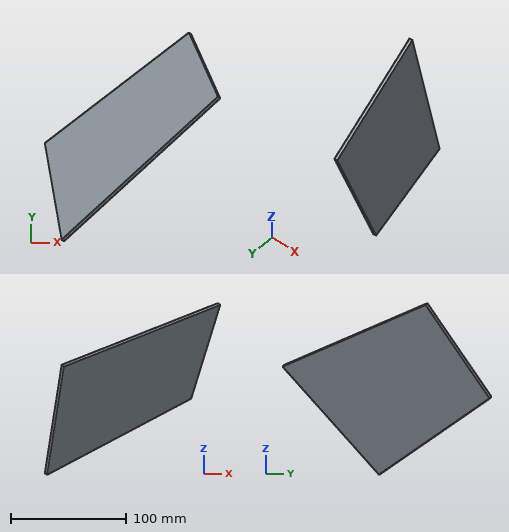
import cadquery as cq

thickness = 3.0
base_length = 170.9
side_length = 126.7
far_corner_along = 189.5
far_corner_across = 99.8

square_corner = cq.Vector(0, 85.3, 1.6)
base_direction = cq.Vector(69.0, 52.9, 36.5)
side_direction = cq.Vector(8.0, -46.3, 51.8)

face_normal = side_direction.cross(base_direction)
upper_face = cq.Plane(
    origin=square_corner,
    xDir=base_direction,
    normal=face_normal,
)

outline = [
    (0, 0),
    (base_length, 0),
    (far_corner_along, -far_corner_across),
    (0, -side_length),
]

result = cq.Workplane(upper_face).polyline(outline).close().extrude(-thickness)